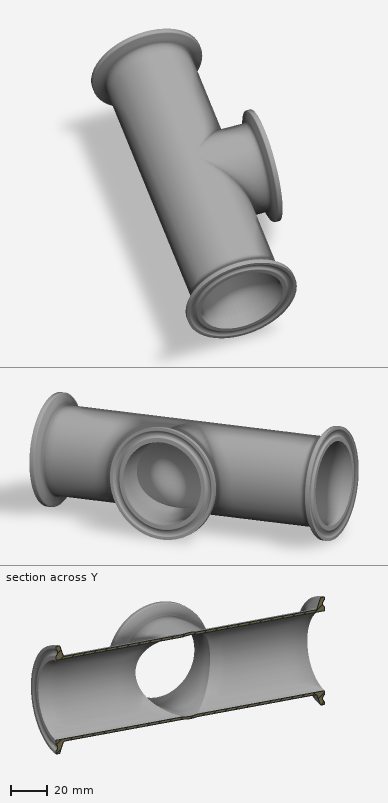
import cadquery as cq
import math

run_length = 171.5
overall_depth = 73.2
tube_diameter = 50.7
bore_diameter = 47.5
flange_diameter = 64.0

ferrule_length = 12.5
rim_thickness = 2.7
rim_edge_radius = 0.7
taper_angle = 20.0
neck_radius = 1.0

groove_diameter = 56.4
groove_radius = 2.0
groove_depth = 1.2
groove_edge_radius = 0.5

tube_radius = tube_diameter / 2
flange_radius = flange_diameter / 2
branch_reach = overall_depth - flange_radius
taper_length = (flange_radius - tube_radius) * math.tan(math.radians(taper_angle))
neck_position = rim_thickness + taper_length

run_left_face = cq.Plane(origin=(-run_length / 2, 0, 0), xDir=(0, 1, 0), normal=(1, 0, 0))
run_right_face = cq.Plane(origin=(run_length / 2, 0, 0), xDir=(0, 1, 0), normal=(-1, 0, 0))
branch_face = cq.Plane(origin=(0, branch_reach, 0), xDir=(1, 0, 0), normal=(0, -1, 0))


def circles_by_height(body):
    """Circular edges of a body, lowest first."""
    return body.edges("%CIRCLE").sort(lambda edge: edge.Center().z)


def ferrule_blank():
    """Unbored ferrule on the Z axis: sealing face at Z = 0, tube end towards +Z."""
    blank = (
        cq.Workplane("XZ")
        .polyline([
            (0, 0),
            (flange_radius, 0),
            (flange_radius, rim_thickness),
            (tube_radius, neck_position),
            (tube_radius, ferrule_length),
            (0, ferrule_length),
        ])
        .close()
        .revolve(360, (0, 0, 0), (0, 1, 0))
    )
    blank = circles_by_height(blank)[2].fillet(neck_radius)
    return circles_by_height(blank)[1].fillet(rim_edge_radius)


def ferrule():
    """Unbored ferrule with a round-bottomed gasket groove that has rounded lips."""
    ring_center = cq.Vector(0, 0, groove_depth - groove_radius)
    groove_ring = cq.Solid.makeTorus(groove_diameter / 2, groove_radius, ring_center)
    grooved = ferrule_blank().cut(cq.Workplane(groove_ring))
    inner_disc_edge = grooved.faces("<Z").edges(cq.selectors.RadiusNthSelector(0))
    outer_ring_edge = grooved.faces("<Z").edges(cq.selectors.RadiusNthSelector(1))
    return inner_disc_edge.add(outer_ring_edge).fillet(groove_edge_radius)


def tube_segment(face, start, length, diameter):
    """Cylinder on the axis of a sealing face, starting at a depth behind that face."""
    return cq.Workplane(face).workplane(offset=start).circle(diameter / 2).extrude(length)


run_tube = tube_segment(run_left_face, ferrule_length, run_length - 2 * ferrule_length, tube_diameter)
branch_tube = tube_segment(branch_face, ferrule_length, branch_reach - ferrule_length, tube_diameter)
tee = run_tube.union(branch_tube)

ferrule_shape = ferrule().val()
for face in (run_left_face, run_right_face, branch_face):
    tee = tee.union(cq.Workplane(ferrule_shape.moved(cq.Location(face))))

tee = tee.cut(tube_segment(run_left_face, 0, run_length, bore_diameter))
result = tee.cut(tube_segment(branch_face, 0, branch_reach, bore_diameter))